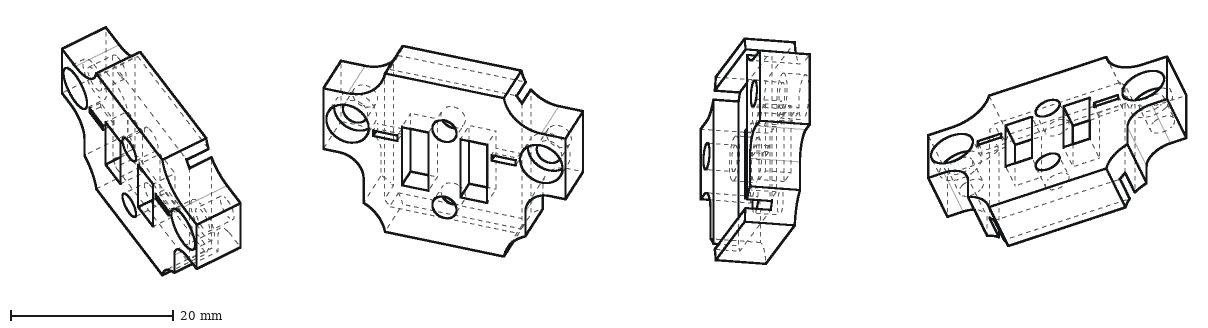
import cadquery as cq
import math

width = 31.75
thickness = 6.35
height = 23.75
front_y = -thickness / 2
back_y = thickness / 2

ear_hole_x = 12.7
ear_hole_z = 3.175
ear_half_height = 4.55
ear_top_z = ear_hole_z + ear_half_height
ear_bottom_z = ear_hole_z - ear_half_height
lower_half_width = 10.6
ear_fillet_radius = 3.175

relief_center = 12.7
relief_radius = relief_center - ear_top_z

pocket_width = 18.03
pocket_height = 20.57
pocket_depth = thickness / 2

ear_hole_diameter = 3.25
counterbore_diameter = 5.56
counterbore_depth = 2.8

center_hole_diameter = 3.175
center_hole_heights = (5.08, -6.35)

window_width = 3.5
window_height = 8.7
window_x = 3.84

slot_length = 3.175
slot_height = 0.8
slot_x = 7.75
slot_z = 2.54
slot_depth = (thickness - pocket_depth) / 2


def block(x, z, size_x, size_z, start_y, depth):
    """Box centred on (x, z) that runs from start_y towards +Y."""
    return cq.Workplane("XY").box(size_x, depth, size_z).translate((x, start_y + depth / 2, z))


def cylinder(x, z, diameter, depth):
    """Cylinder along Y that starts at the front face."""
    axis_start = cq.Vector(x, front_y, z)
    return cq.Workplane(cq.Solid.makeCylinder(diameter / 2, depth, axis_start, cq.Vector(0, 1, 0)))


def make_plate():
    """Plate with side ears, concave fillets below them and round corner reliefs."""
    half_width = width / 2
    half_height = height / 2

    relief_edge_x = relief_center - math.sqrt(relief_radius**2 - (relief_center - half_height) ** 2)
    relief_side_z = relief_center - math.sqrt(relief_radius**2 - (relief_center - lower_half_width) ** 2)

    relief_mid = relief_center - relief_radius * math.sqrt(0.5)
    fillet_reach = ear_fillet_radius * (1 - math.sqrt(0.5))
    fillet_mid = (lower_half_width + fillet_reach, ear_bottom_z - fillet_reach)

    right_half = (
        cq.Workplane("XZ", origin=(0, back_y, 0))
        .moveTo(0, half_height)
        .lineTo(relief_edge_x, half_height)
        .threePointArc((relief_mid, relief_mid), (relief_center, ear_top_z))
        .lineTo(half_width, ear_top_z)
        .lineTo(half_width, ear_bottom_z)
        .lineTo(lower_half_width + ear_fillet_radius, ear_bottom_z)
        .threePointArc(fillet_mid, (lower_half_width, ear_bottom_z - ear_fillet_radius))
        .lineTo(lower_half_width, -relief_side_z)
        .threePointArc((relief_mid, -relief_mid), (relief_edge_x, -half_height))
        .lineTo(0, -half_height)
    )
    return right_half.mirrorY().extrude(thickness)


def cut_back_pocket(plate):
    return plate.cut(block(0, 0, pocket_width, pocket_height, back_y - pocket_depth, pocket_depth))


def cut_ear_holes(plate):
    for side in (-1, 1):
        x = side * ear_hole_x
        plate = plate.cut(cylinder(x, ear_hole_z, ear_hole_diameter, thickness))
        plate = plate.cut(cylinder(x, ear_hole_z, counterbore_diameter, counterbore_depth))
    return plate


def cut_center_holes(plate):
    for z in center_hole_heights:
        plate = plate.cut(cylinder(0, z, center_hole_diameter, thickness))
    return plate


def cut_windows(plate):
    for side in (-1, 1):
        plate = plate.cut(block(side * window_x, 0, window_width, window_height, front_y, thickness))
    return plate


def cut_front_slots(plate):
    for side in (-1, 1):
        plate = plate.cut(block(side * slot_x, slot_z, slot_length, slot_height, front_y, slot_depth))
    return plate


result = make_plate()
result = cut_back_pocket(result)
result = cut_ear_holes(result)
result = cut_center_holes(result)
result = cut_windows(result)
result = cut_front_slots(result)